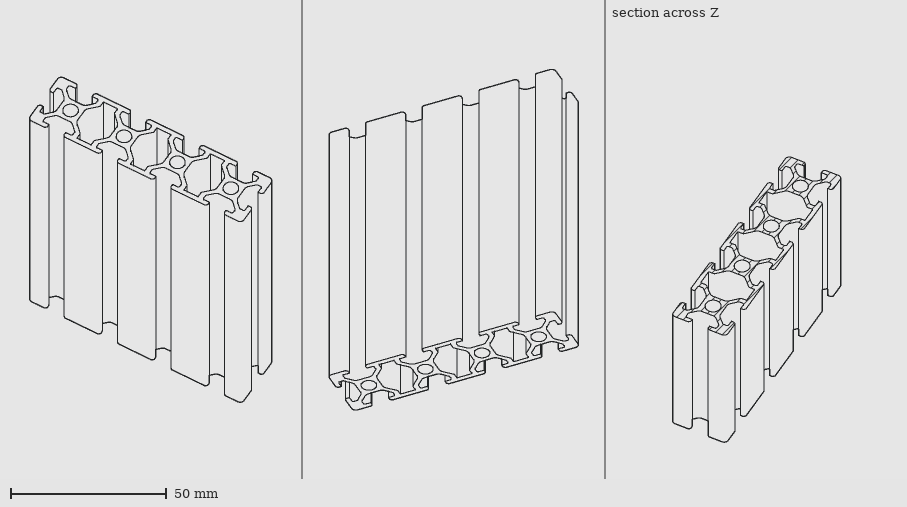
import cadquery as cq
import math

cell = 20.0
cell_count = 4
length = 100.0
corner_radius = 1.5

slot_opening = 6.2
slot_inner_width = 11.0
skin = 1.7
lip_chamfer = 0.6
lip_radius = 0.5
pocket_radius = 0.5
knee_radius = 0.3

core_width = 7.8
core_radius = 2.0
web_thickness = 1.5
bore_diameter = 5.0
chamber_neck = 5.3
chamber_knee_radius = 0.5

width = cell * cell_count
half_cell = cell / 2
half_core = core_width / 2
web_offset = web_thickness / 2 * math.sqrt(2)
cell_centers = [(i - (cell_count - 1) / 2) * cell for i in range(cell_count)]


def mirror_x(points):
    """Mirror image of an XY path about the Y axis, in reverse order."""
    return [(-x, y) for x, y in reversed(points)]


def extrude_outline(points):
    return cq.Workplane("XY").polyline(points).close().extrude(length)


def fillet_at(body, points, radius):
    """Round the lengthwise edges that pass through the given XY points."""
    upright = body.edges("|Z")
    chosen = body.newObject([])
    for x, y in points:
        chosen = chosen.add(upright.edges(cq.selectors.NearestToPointSelector((x, y, length / 2))))
    return chosen.fillet(radius)


opening = slot_opening / 2
inner = slot_inner_width / 2
lip_tip = (opening, half_cell - lip_chamfer)
lip_crest = (opening + lip_chamfer, half_cell)
slot_right = [
    (half_core - web_offset, half_core),
    (inner, inner + web_offset),
    (inner, half_cell - skin),
    (opening, half_cell - skin),
    lip_tip,
    lip_crest,
]


def make_slot():
    """Void of one T-slot opening towards +Y, for a cell centred on the origin."""
    slot = extrude_outline(slot_right + mirror_x(slot_right))
    core_corner, knee, pocket_corner = slot_right[:3]
    for corner, radius in ((core_corner, core_radius), (knee, knee_radius), (pocket_corner, pocket_radius)):
        slot = fillet_at(slot, [corner] + mirror_x([corner]), radius)
    return slot


def make_chamber():
    """Void of the hollow chamber between two neighbouring cores, centred on the origin."""
    neck = chamber_neck / 2
    core_corner = (half_cell - half_core, half_core - web_offset)
    knee = (neck, half_cell - neck - web_offset)
    quarter = [core_corner, knee, (neck, half_cell - skin)]
    upper = quarter + mirror_x(quarter)
    chamber = extrude_outline(upper + [(-x, -y) for x, y in upper])
    for (x, y), radius in ((core_corner, core_radius), (knee, chamber_knee_radius)):
        chamber = fillet_at(chamber, [(x, y), (-x, y), (-x, -y), (x, -y)], radius)
    return chamber


bar = cq.Workplane("XY").rect(width, cell).extrude(length).edges("|Z").fillet(corner_radius)

slot = make_slot()
slot_places = [(x, angle) for x in cell_centers for angle in (0, 180)]
slot_places += [(cell_centers[0], 90), (cell_centers[-1], -90)]
lip_edges = []
for center, angle in slot_places:
    bar = bar.cut(slot.rotate((0, 0, 0), (0, 0, 1), angle).translate((center, 0, 0)))
    cosine = math.cos(math.radians(angle))
    sine = math.sin(math.radians(angle))
    for x, y in [lip_tip, lip_crest] + mirror_x([lip_tip, lip_crest]):
        lip_edges.append((center + x * cosine - y * sine, x * sine + y * cosine))
bar = fillet_at(bar, lip_edges, lip_radius)

chamber = make_chamber()
for center in cell_centers[:-1]:
    bar = bar.cut(chamber.translate((center + half_cell, 0, 0)))

bore_places = [(center, 0) for center in cell_centers]
bores = cq.Workplane("XY").pushPoints(bore_places).circle(bore_diameter / 2).extrude(length)
result = bar.cut(bores)